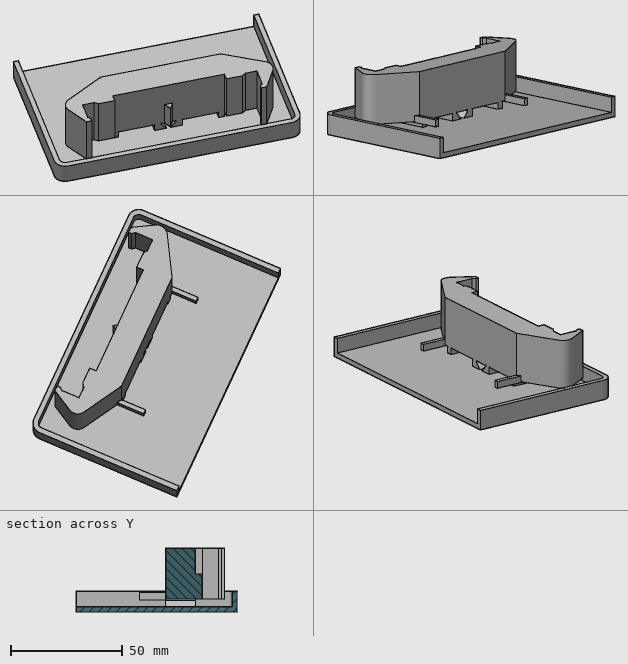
import cadquery as cq
import math

tray_length = 72.6
tray_width = 114.9
tray_height = 9.4
wall = 2.4
floor = 2.4
corner_radius = 5.0

bracket_top = 28.8
bracket_bottom = 5.9
back_x = 40.3
back_half_width = 28.0
flank_angle = 60.0
shoulder_radius = 4.7
arm_tip_x = 66.9
arm_tip_outer_y = 42.2
barb_inner_y = 39.7
barb_flat_x = 65.4
barb_root_x = 64.0
arm_inner_y = 40.8
seat_x = 55.6
seat_end_y = 35.4
step_x = 56.9
step_start_y = 33.7
recess_half_width = 26.1
recess_x = 53.7

pointer_half_width = 1.8
pointer_top = 17.2

outer_foot_inner_y = 23.5
outer_foot_width = 2.6
outer_foot_gap = 0.3
center_foot_half_width = 6.5
window_half_width = 3.5
window_rim = 0.6
window_bottom_half_width = 0.9

prong_start_x = 28.5
prong_width = 2.1
prong_bottom = 5.5
prong_top = 8.7


def block(x0, x1, y0, y1, z0, z1):
    """Box between two opposite corners."""
    return cq.Workplane("XY").box(x1 - x0, y1 - y0, z1 - z0, centered=False).translate((x0, y0, z0))


def make_tray():
    half = tray_width / 2
    outer = block(0, tray_length, -half, half, 0, tray_height)
    outer = outer.edges("|Z and >X").fillet(corner_radius)
    pocket = block(0, tray_length - wall, wall - half, half - wall, floor, tray_height)
    pocket = pocket.edges("|Z and >X").fillet(corner_radius - wall)
    return outer.cut(pocket)


def make_clip():
    flank_slope = math.tan(math.radians(flank_angle))
    arm_slope = 1 / flank_slope
    shoulder_x = (arm_tip_outer_y + arm_slope * arm_tip_x
                  - back_half_width + flank_slope * back_x) / (flank_slope + arm_slope)
    shoulder_y = back_half_width + flank_slope * (shoulder_x - back_x)
    upper_half = [
        (back_x, back_half_width),
        (shoulder_x, shoulder_y),
        (arm_tip_x, arm_tip_outer_y),
        (arm_tip_x, barb_inner_y),
        (barb_flat_x, barb_inner_y),
        (barb_root_x, arm_inner_y),
        (seat_x, arm_inner_y),
        (seat_x, seat_end_y),
        (step_x, step_start_y),
        (step_x, recess_half_width),
        (recess_x, recess_half_width),
    ]
    lower_half = [(x, -y) for x, y in reversed(upper_half)]
    clip = cq.Workplane("XY", origin=(0, 0, bracket_bottom)).polyline(upper_half + lower_half).close()
    clip = clip.extrude(bracket_top - bracket_bottom)
    return clip.edges("|Z and (>Y or <Y)").fillet(shoulder_radius)


def make_pointer():
    outline = [(recess_x, -pointer_half_width), (step_x, 0), (recess_x, pointer_half_width)]
    pointer = cq.Workplane("XY", origin=(0, 0, bracket_bottom)).polyline(outline).close()
    return pointer.extrude(pointer_top - bracket_bottom)


def make_center_foot():
    foot = block(back_x, recess_x, -center_foot_half_width, center_foot_half_width, floor, bracket_bottom)
    window_outline = [
        (-window_half_width, bracket_bottom),
        (-window_half_width, bracket_bottom - window_rim),
        (-window_bottom_half_width, floor),
        (window_bottom_half_width, floor),
        (window_half_width, bracket_bottom - window_rim),
        (window_half_width, bracket_bottom),
    ]
    window = cq.Workplane("YZ", origin=(back_x, 0, 0)).polyline(window_outline).close()
    return foot.cut(window.extrude(recess_x - back_x))


def make_bracket():
    bracket = make_clip().union(make_pointer()).union(make_center_foot())
    foot = block(back_x, recess_x, outer_foot_inner_y, outer_foot_inner_y + outer_foot_width,
                 floor + outer_foot_gap, bracket_bottom)
    prong = block(prong_start_x, back_x + prong_width, back_half_width, back_half_width + prong_width,
                  prong_bottom, prong_top)
    for feature in (foot, prong):
        bracket = bracket.union(feature).union(feature.mirror("XZ"))
    return bracket


tray = make_tray()
bracket = make_bracket()
result = cq.Compound.makeCompound([tray.solids().val(), bracket.solids().val()])